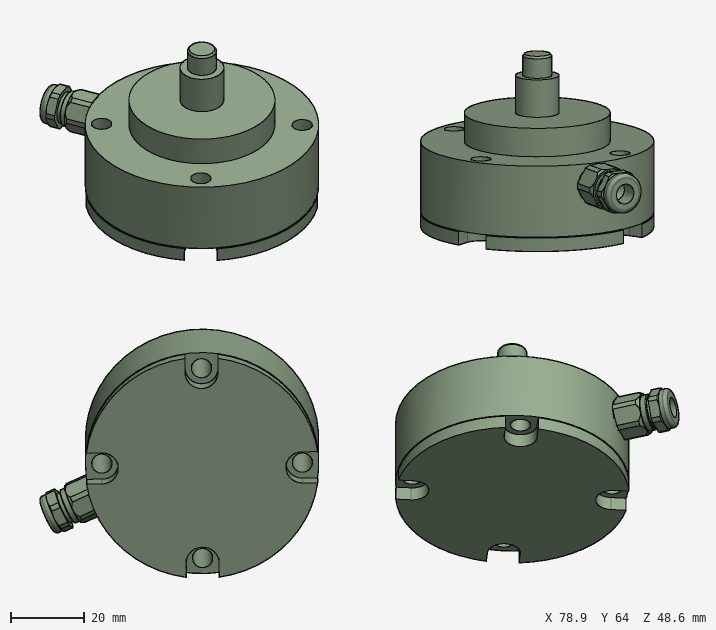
import cadquery as cq
import math

housing_diameter = 64.0
housing_height = 20.0
boss_diameter = 40.0
boss_height = 8.0

plate_thickness = 4.0
plate_rim_chamfer = 0.2

hole_count = 4
hole_circle_radius = 27.5
first_hole_angle = 25
hole_diameter = 5.5
slot_width = 9.0

shaft_diameter = 12.0
shaft_length = 10.5
tip_diameter = 8.0
tip_length = 6.1
tip_chamfer_width = 0.5
tip_chamfer_height = 0.6

overall_length = 78.9
gland_axis_height = 18.0
gland_axis_y = -0.1
across_flats = 11.05
across_corners = 12.0
nut_round_end = 2.2
nut_shoulder_end = 2.5
nut_end = 5.05
nut_lip_radius = 1.0
cable_bore_diameter = 5.5
cable_bore_cone_depth = 1.65
neck_diameter = 8.8
neck_end = 6.1
collar_front_diameter = 9.3
collar_start = 6.3
collar_end = 7.8
collar_diameter = 10.0
hex_chamfer_end = 8.75
hex_end = 15.55
seat_diameter = 11.4

housing_radius = housing_diameter / 2
housing_top = plate_thickness + housing_height
boss_top = housing_top + boss_height
gland_tip_x = housing_radius - overall_length
flat_radius = across_flats / 2
corner_radius = across_corners / 2


def hole_angles():
    return [first_hole_angle + i * 360 / hole_count for i in range(hole_count)]


def cylinder(diameter, bottom, height):
    return cq.Workplane("XY").workplane(offset=bottom).circle(diameter / 2).extrude(height)


def make_housing(gland_body):
    body = cylinder(housing_diameter, plate_thickness, housing_height)
    body = body.union(cylinder(boss_diameter, housing_top, boss_height))
    for angle in hole_angles():
        hole = cylinder(hole_diameter, plate_thickness, housing_height)
        hole = hole.translate((hole_circle_radius, 0, 0))
        body = body.cut(hole.rotate((0, 0, 0), (0, 0, 1), angle))
    seat = (
        cq.Workplane("YZ", origin=(-housing_radius, gland_axis_y, gland_axis_height))
        .circle(seat_diameter / 2)
        .extrude(gland_tip_x + hex_end + housing_radius)
    )
    return body.cut(seat).cut(gland_body)


def make_base_plate():
    plate = cylinder(housing_diameter, 0, plate_thickness)
    plate = plate.faces(">Z").edges().chamfer(plate_rim_chamfer)
    for angle in hole_angles():
        slot = cylinder(slot_width, 0, plate_thickness).union(
            cq.Workplane("XY")
            .rect(housing_radius, slot_width)
            .extrude(plate_thickness)
            .translate((housing_radius / 2, 0, 0))
        )
        slot = slot.translate((hole_circle_radius, 0, 0))
        plate = plate.cut(slot.rotate((0, 0, 0), (0, 0, 1), angle))
    return plate


def make_shaft():
    tip_bottom = boss_top + shaft_length
    tip = cylinder(tip_diameter, tip_bottom, tip_length)
    tip = tip.faces(">Z").edges().chamfer(tip_chamfer_height, tip_chamfer_width)
    return cylinder(shaft_diameter, boss_top, shaft_length).union(tip)


def gland_turning(profile):
    """Turns a profile of (distance from the nut face, radius) points about the gland axis."""
    points = [(gland_tip_x + distance, gland_axis_height + radius) for distance, radius in profile]
    return (
        cq.Workplane("XZ", origin=(0, gland_axis_y, 0))
        .polyline(points)
        .close()
        .revolve(360, (0, gland_axis_height, 0), (1, gland_axis_height, 0))
    )


def gland_hexagon(start, end):
    """Hexagonal bar along the gland axis, with flats at top and bottom."""
    return (
        cq.Workplane("YZ", origin=(gland_tip_x + start, gland_axis_y, gland_axis_height))
        .polygon(6, across_flats / math.cos(math.pi / 6))
        .extrude(end - start)
    )


def make_gland_nut():
    round_end = gland_turning([(0, 0), (0, flat_radius), (nut_round_end, flat_radius), (nut_round_end, 0)])
    round_end = round_end.faces("<X").edges().fillet(nut_lip_radius)
    envelope = gland_turning([
        (nut_round_end, 0),
        (nut_round_end, flat_radius),
        (nut_shoulder_end, corner_radius),
        (nut_end, corner_radius),
        (nut_end, 0),
    ])
    nut = round_end.union(gland_hexagon(nut_round_end, nut_end).intersect(envelope))
    bore_radius = cable_bore_diameter / 2
    return nut.cut(gland_turning([(0, 0), (0, bore_radius), (nut_end, bore_radius), (nut_end, 0)]))


def make_gland_body():
    neck_and_collar = gland_turning([
        (nut_end, 0),
        (nut_end, neck_diameter / 2),
        (neck_end, neck_diameter / 2),
        (neck_end, collar_front_diameter / 2),
        (collar_start, collar_diameter / 2),
        (collar_end, collar_diameter / 2),
        (collar_end, 0),
    ])
    envelope = gland_turning([
        (collar_end, 0),
        (collar_end, flat_radius),
        (hex_chamfer_end, corner_radius),
        (hex_end, corner_radius),
        (hex_end, 0),
    ])
    hexagon = gland_hexagon(collar_end, hex_end).intersect(envelope)
    bore_bottom = gland_turning([
        (nut_end, 0),
        (nut_end, cable_bore_diameter / 2),
        (nut_end + cable_bore_cone_depth, 0),
    ])
    return neck_and_collar.union(hexagon).cut(bore_bottom)


gland_nut = make_gland_nut()
gland_body = make_gland_body()
housing = make_housing(gland_body)
base_plate = make_base_plate()
shaft = make_shaft()

result = cq.Compound.makeCompound([
    housing.val(),
    base_plate.val(),
    shaft.val(),
    gland_nut.val(),
    gland_body.val(),
])